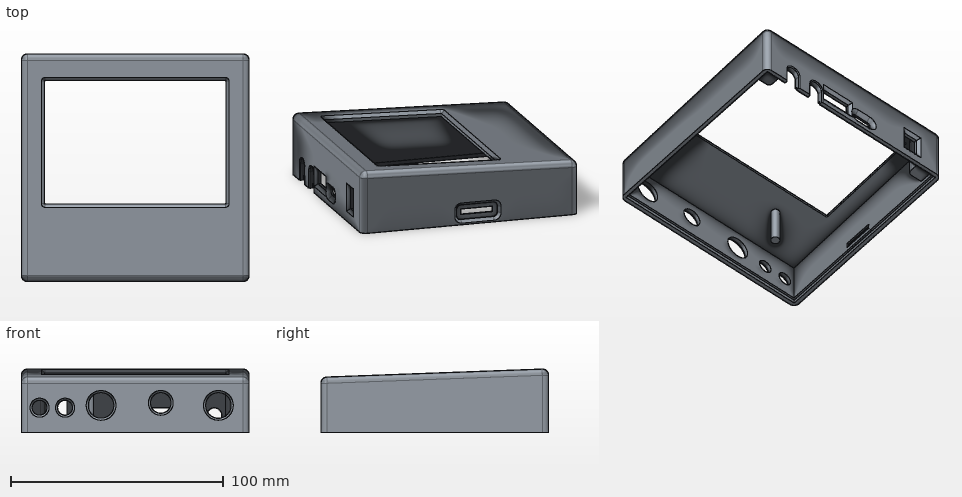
import cadquery as cq
import math

SIDE = 107.0
BACK_HEIGHT = 30.0
FRONT_HEIGHT = 26.0
TOP_SLOPE = math.atan((BACK_HEIGHT - FRONT_HEIGHT) / SIDE)
WALL = 3.0
EDGE_RADIUS = 3.0
HALF = SIDE / 2
INNER_HALF = HALF - WALL

RIM_STEP_WIDTH = 1.0
RIM_STEP_HEIGHT = 2.0

WINDOW_WIDTH = 85.1
WINDOW_LENGTH = 58.0
WINDOW_CENTER_Y = 11.9
WINDOW_CORNER_RADIUS = 0.2
WINDOW_CHAMFER = 1.5

SUPPORT_BOTTOM = 4.3
POST_FACE = 42.4
POST_RADIUS = 2.1
PIN_DIAMETER = 4.3
PIN_X = -21.8
PIN_Y = -30.0

FRONT_HOLES = [
    (-44.9, 11.7, 7.0),
    (-33.0, 11.7, 7.0),
    (-16.0, 12.7, 12.0),
    (12.0, 13.9, 9.6),
    (39.1, 12.7, 12.0),
]

HOLE_FLARE = 1.0
SOCKET_FLARE = 1.4
PORT_FLARE = 1.5
PILL_FLARE = 2.0
NOTCH_FLARE = 0.5

SOCKET_Y = -4.0
SOCKET_Z = 5.8
SOCKET_WIDTH = 20.1
SOCKET_HEIGHT = 7.1
SOCKET_RADIUS = 2.0
SOCKET_DEPTH = 2.0
SLOT_WIDTH = 15.6
SLOT_HEIGHT = 2.7

PORT_X = 9.8
PORT_Z = 8.1
PORT_WIDTH = 15.0
PORT_HEIGHT = 7.0
PILL_X = -6.1
PILL_Z = 6.6
PILL_WIDTH = 11.0
PILL_HEIGHT = 4.0
TALL_PORT_X = -35.8
TALL_PORT_Z = 11.7
TALL_PORT_WIDTH = 7.4
TALL_PORT_HEIGHT = 10.7
NOTCH_CENTERS = (23.1, 37.1)
NOTCH_WIDTH = 7.0
NOTCH_TOP = 11.6

FRONT_WALL = cq.Plane(origin=(0, -HALF, 0), xDir=(1, 0, 0), normal=(0, -1, 0))
LEFT_WALL = cq.Plane(origin=(-HALF, 0, 0), xDir=(0, -1, 0), normal=(-1, 0, 0))
BACK_WALL = cq.Plane(origin=(0, HALF, 0), xDir=(-1, 0, 0), normal=(0, 1, 0))


def sloped_block(half, height):
    """Square block with the sloping top; height is where that slope would reach the case's back face."""
    fall = math.tan(TOP_SLOPE)
    height_at_back = height - fall * (HALF - half)
    height_at_front = height - fall * (HALF + half)
    outline = [(-half, 0), (half, 0), (half, height_at_back), (-half, height_at_front)]
    return cq.Workplane("YZ").polyline(outline).close().extrude(half, both=True)


def case_shell():
    outside = sloped_block(HALF, BACK_HEIGHT).edges("|Z").fillet(EDGE_RADIUS)
    outside = outside.faces(">Z").edges().fillet(EDGE_RADIUS)
    inside = sloped_block(INNER_HALF, BACK_HEIGHT - WALL / math.cos(TOP_SLOPE))
    step_side = 2 * (INNER_HALF + RIM_STEP_WIDTH)
    rim_step = cq.Workplane("XY").rect(step_side, step_side).extrude(RIM_STEP_HEIGHT)
    for support in (corner_post(-1), corner_post(1), pin()):
        inside = inside.cut(support)
    return outside.cut(inside).cut(rim_step)


def corner_post(direction):
    """Post in a back corner, wide enough to merge with both walls; direction is the sign of X."""
    side = HALF - POST_FACE
    center = POST_FACE + side / 2
    post = cq.Workplane("XY", origin=(direction * center, center, SUPPORT_BOTTOM))
    post = post.rect(side, side).extrude(BACK_HEIGHT)
    return post.edges("|Z").fillet(POST_RADIUS)


def pin():
    base = cq.Plane(origin=(PIN_X, PIN_Y, SUPPORT_BOTTOM), xDir=(0, -1, 0))
    return cq.Workplane(base).circle(PIN_DIAMETER / 2).extrude(BACK_HEIGHT)


def flared(plane, profile, flare, depth):
    """Cutter that follows profile(growth) to a depth below the plane, with a 45 degree flare at the plane."""
    straight = profile(cq.Workplane(plane), 0).extrude(-depth)
    mouth = profile(cq.Workplane(plane), flare).extrude(-flare, taper=45)
    return straight.union(mouth)


def round_profile(x, z, diameter):
    return lambda plane, growth: plane.center(x, z).circle(diameter / 2 + growth)


def box_profile(x, z, width, height, radius):
    """Rectangle whose corners are rounded when a radius is given."""

    def profile(plane, growth):
        outline = cq.Sketch().rect(width + 2 * growth, height + 2 * growth)
        if radius > 0:
            outline = outline.vertices().fillet(radius + growth)
        return plane.center(x, z).placeSketch(outline)

    return profile


def pill_profile(x, z, width, height):
    return lambda plane, growth: plane.center(x, z).slot2D(width + 2 * growth, height + 2 * growth)


def notch_profile(x, width, top):
    """Round-topped notch that runs out through the rim."""

    def profile(plane, growth):
        radius = width / 2 + growth
        spring = top - width / 2
        outline = plane.moveTo(x - radius, -WALL).lineTo(x - radius, spring)
        outline = outline.threePointArc((x, spring + radius), (x + radius, spring))
        return outline.lineTo(x + radius, -WALL).close()

    return profile


def window():
    """Opening square to the sloping top, with its upper edge chamfered."""
    top_z = BACK_HEIGHT - (HALF - WINDOW_CENTER_Y) * math.tan(TOP_SLOPE)
    top = cq.Plane(
        origin=(0, WINDOW_CENTER_Y, top_z),
        xDir=(1, 0, 0),
        normal=(0, -math.sin(TOP_SLOPE), math.cos(TOP_SLOPE)),
    )
    opening = box_profile(0, 0, WINDOW_WIDTH, WINDOW_LENGTH, WINDOW_CORNER_RADIUS)
    return flared(top, opening, WINDOW_CHAMFER, 2 * WALL)


def front_holes():
    for x, z, diameter in FRONT_HOLES:
        yield flared(FRONT_WALL, round_profile(x, z, diameter), HOLE_FLARE, WALL)


def side_socket():
    recess = box_profile(-SOCKET_Y, SOCKET_Z, SOCKET_WIDTH, SOCKET_HEIGHT, SOCKET_RADIUS)
    yield flared(LEFT_WALL, recess, SOCKET_FLARE, SOCKET_DEPTH)
    yield cq.Workplane(LEFT_WALL).center(-SOCKET_Y, SOCKET_Z).rect(SLOT_WIDTH, SLOT_HEIGHT).extrude(-WALL)


def back_openings():
    port = box_profile(-PORT_X, PORT_Z, PORT_WIDTH, PORT_HEIGHT, 0)
    yield flared(BACK_WALL, port, PORT_FLARE, WALL)
    pill = pill_profile(-PILL_X, PILL_Z, PILL_WIDTH, PILL_HEIGHT)
    yield flared(BACK_WALL, pill, PILL_FLARE, WALL)
    tall_port = box_profile(-TALL_PORT_X, TALL_PORT_Z, TALL_PORT_WIDTH, TALL_PORT_HEIGHT, 0)
    yield flared(BACK_WALL, tall_port, PORT_FLARE, WALL)
    for x in NOTCH_CENTERS:
        notch = notch_profile(-x, NOTCH_WIDTH, NOTCH_TOP)
        yield flared(BACK_WALL, notch, NOTCH_FLARE, WALL)


result = case_shell().cut(window())
for openings in (front_holes(), side_socket(), back_openings()):
    for opening in openings:
        result = result.cut(opening)